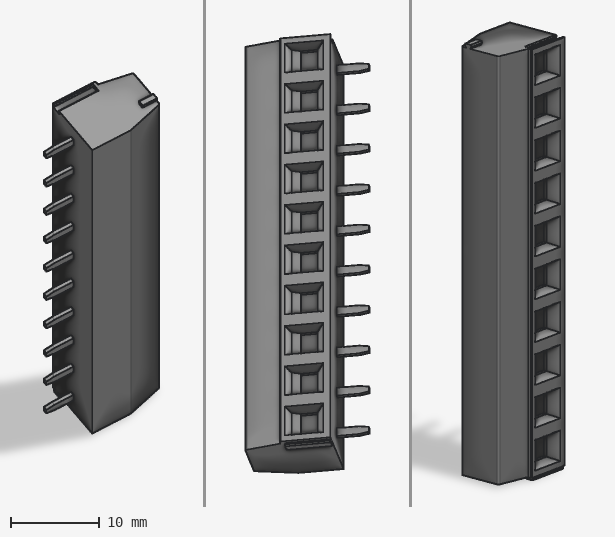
import cadquery as cq
import math


POLES = 10
OVERALL_LENGTH = 51.8
BODY_LENGTH = 50.8
PITCH = BODY_LENGTH / POLES
BODY_WIDTH = 8.1
BODY_DEPTH = 10.0
BACK_LEFT = -2.7
BACK_RIGHT = 2.7
BACK_FILLET = 0.25
RIGHT_SLOPE_START = 5.2
LIP_TOP = 5.8
LIP_CHAMFER = 0.15
LIP_THICKNESS = 0.5

ENTRY_HEIGHT = 3.65
ENTRY_BOTTOM = 0.8
ENTRY_TOP = 5.2
FUNNEL_DEPTH = 1.25
END_WALL_ANGLE = 21
BOTTOM_WALL_ANGLE = 36
TOP_WALL_ANGLE = 30
SHELF_ANGLE = 15
RECESS_TOP = 3.65
RECESS_DEPTH = 0.45

PIN_THICKNESS = 0.5
PIN_WIDTH = 1.0
PIN_LENGTH = 3.7
PIN_TIP_WIDTH = 0.6
PIN_TIP_LENGTH = 1.1

TAB_HEIGHT = (OVERALL_LENGTH - BODY_LENGTH) / 2
DOVETAIL_X = -3.25
GROOVE_LENGTH = 5.35
GROOVE_MOUTH = 1.1
GROOVE_NECK = 0.8
GROOVE_NECK_DEPTH = 0.15
GROOVE_FLOOR = 1.2
RAIL_LENGTH = 5.25
RAIL_NECK = 0.55
RAIL_WIDEST = 1.15
RAIL_TIP = 0.9
RAIL_WIDEST_HEIGHT = 0.3
KEY_X = 1.75
KEY_LENGTH = 1.9
KEY_NECK = 0.6
KEY_WIDEST = 0.95
KEY_TIP = 0.8
KEY_WIDEST_HEIGHT = 0.25

LEFT = -BODY_WIDTH / 2
RIGHT = BODY_WIDTH / 2
END_Z = BODY_LENGTH / 2
POLE_CENTRES = [(i + 0.5) * PITCH - END_Z for i in range(POLES)]


def housing():
    outline = [
        (LEFT, 0),
        (RIGHT, 0),
        (RIGHT, RIGHT_SLOPE_START),
        (BACK_RIGHT, BODY_DEPTH),
        (BACK_LEFT, BODY_DEPTH),
        (LEFT + LIP_THICKNESS, LIP_TOP),
        (LEFT + LIP_CHAMFER, LIP_TOP),
        (LEFT, LIP_TOP - LIP_CHAMFER),
    ]
    body = cq.Workplane("XY").workplane(offset=-END_Z).polyline(outline).close().extrude(BODY_LENGTH)
    return body.edges("|Z and >Y").fillet(BACK_FILLET)


def taper(depth, angle):
    """Sideways run of a wall that leans by angle (degrees) over the given depth."""
    return depth * math.tan(math.radians(angle))


def entry_rectangle(depth, bottom, top, height):
    x = LEFT + depth
    corners = [
        (x, bottom, -height / 2),
        (x, top, -height / 2),
        (x, top, height / 2),
        (x, bottom, height / 2),
    ]
    return cq.Wire.makePolygon([cq.Vector(*corner) for corner in corners], close=True)


def wire_entry():
    """Funnel and recess to cut at Z = 0; the shelf is the part of the funnel that stays solid."""
    inner_bottom = ENTRY_BOTTOM + taper(FUNNEL_DEPTH, BOTTOM_WALL_ANGLE)
    inner_top = ENTRY_TOP - taper(FUNNEL_DEPTH, TOP_WALL_ANGLE)
    inner_height = ENTRY_HEIGHT - 2 * taper(FUNNEL_DEPTH, END_WALL_ANGLE)
    mouth = entry_rectangle(0, ENTRY_BOTTOM, ENTRY_TOP, ENTRY_HEIGHT)
    throat = entry_rectangle(FUNNEL_DEPTH, inner_bottom, inner_top, inner_height)
    funnel = cq.Workplane(cq.Solid.makeLoft([mouth, throat], True))

    shelf_rise = taper(ENTRY_TOP - RECESS_TOP, SHELF_ANGLE)
    shelf_outline = [
        (LEFT + FUNNEL_DEPTH, RECESS_TOP),
        (LEFT + FUNNEL_DEPTH, ENTRY_TOP),
        (LEFT + FUNNEL_DEPTH - shelf_rise, ENTRY_TOP),
    ]
    shelf = cq.Workplane("XY").polyline(shelf_outline).close().extrude(ENTRY_HEIGHT / 2, both=True)

    recess = (
        cq.Workplane("YZ", origin=(LEFT + FUNNEL_DEPTH, (inner_bottom + RECESS_TOP) / 2, 0))
        .rect(RECESS_TOP - inner_bottom, inner_height)
        .extrude(RECESS_DEPTH)
    )
    return funnel.cut(shelf).union(recess)


def solder_pin():
    """Flat pin at Z = 0 whose edges taper towards the tip."""
    taper_start = PIN_TIP_LENGTH - PIN_LENGTH
    outline = [
        (0, -PIN_WIDTH / 2),
        (0, PIN_WIDTH / 2),
        (taper_start, PIN_WIDTH / 2),
        (-PIN_LENGTH, PIN_TIP_WIDTH / 2),
        (-PIN_LENGTH, -PIN_TIP_WIDTH / 2),
        (taper_start, -PIN_WIDTH / 2),
    ]
    return cq.Workplane("YZ").polyline(outline).close().extrude(PIN_THICKNESS / 2, both=True)


def dovetail(x, start_y, length, base_z, levels):
    """Prism along Y, symmetric about x; levels are (height above base_z, full width) pairs."""
    right_side = [(x + width / 2, base_z + height) for height, width in levels]
    left_side = [(x - width / 2, base_z + height) for height, width in reversed(levels)]
    section = cq.Workplane("XZ", origin=(0, start_y, 0)).polyline(right_side + left_side).close()
    return section.extrude(-length)


result = housing()

entry = wire_entry()
pin = solder_pin()
for z in POLE_CENTRES:
    result = result.cut(entry.translate((0, 0, z)))
    result = result.union(pin.translate((0, 0, z)))

groove_levels = [(0, GROOVE_MOUTH), (-GROOVE_NECK_DEPTH, GROOVE_NECK), (-TAB_HEIGHT, GROOVE_FLOOR)]
rail_levels = [(0, RAIL_NECK), (-RAIL_WIDEST_HEIGHT, RAIL_WIDEST), (-TAB_HEIGHT, RAIL_TIP)]
result = result.cut(dovetail(DOVETAIL_X, 0, GROOVE_LENGTH, END_Z, groove_levels))
result = result.union(dovetail(DOVETAIL_X, 0, RAIL_LENGTH, -END_Z, rail_levels))

key_levels = [(0, KEY_NECK), (KEY_WIDEST_HEIGHT, KEY_WIDEST), (TAB_HEIGHT, KEY_TIP)]
result = result.union(dovetail(KEY_X, BODY_DEPTH - KEY_LENGTH, KEY_LENGTH, END_Z, key_levels))